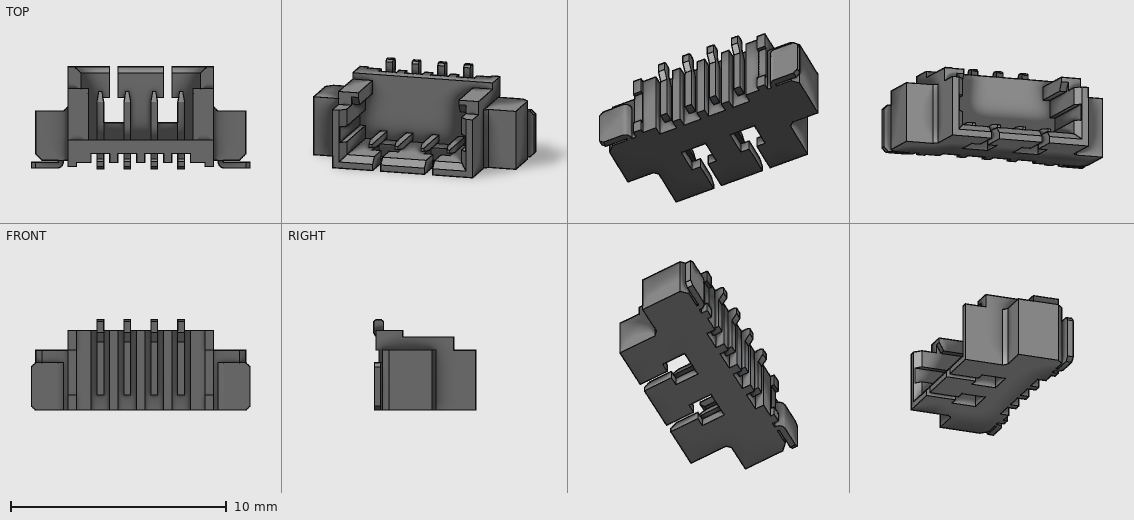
import cadquery as cq


PIN_COUNT = 4
PIN_PITCH = 1.25
PIN_WIDTH = 0.32
PIN_TOP = 4.2
TAIL_DEPTH = 0.47
TAIL_CHAMFER_Y = 0.11
TAIL_CHAMFER_Z = 0.1
TAIL_FACE_BOTTOM = 3.6
LEG_REAR_Y = 0.25
LEG_RISE_TOP = 3.15
PIN_BOTTOM = 0.7
PIN_BLADE_TOP = PIN_BOTTOM + PIN_WIDTH
TIP_Y = 3.6
TIP_LENGTH = 0.5
TIP_WIDTH = 0.14

SHELL_WIDTH = 6.75
SHELL_FRONT_Y = 4.75
EAR_REAR_Y = 0.11
EAR_WIDTH = 0.4
RIB_REAR_Y = 0.3
EAR_RECESS_Y = 0.25
REAR_WALL_FRONT_Y = 1.36
REAR_WALL_TOP = 3.7
SIDE_WALL_TOP = 3.4
SIDE_WALL_FRONT_Y = 3.73
LOW_WALL_TOP = 2.78
CAVITY_WIDTH = 5.53
RAIL_GAP = 4.85
RAIL_CHAMFER_Y = 0.23
RAIL_CHAMFER_Z = 0.4
FLOOR_TOP = 0.6
MOUTH_CHAMFER = 0.3
LATCH_BOTTOM = 1.22
LATCH_TOP = 1.97
LATCH_DEPTH = 0.26

REAR_SLOT_WIDTH = 0.86
REAR_SLOT_FRONT_Y = 0.72
WINDOW_REAR_Y = 2.15
WINDOW_FRONT_Y = 3.31
WINDOW_WIDTH = PIN_PITCH
MOUTH_SLOT_WIDTH = 0.39

WING_SPAN = 9.75
WING_REAR_Y = 0.41
WING_FRONT_Y = 2.7
WING_CHAMFER = 0.3
WING_GUSSET = 0.19

TAB_SPAN = 10.15
TAB_REAR_Y = 0.04
TAB_THICKNESS = 0.28
TAB_INNER_X = 3.58
TAB_LEG_THICKNESS = 0.25
TAB_EMBEDDED_DEPTH = 0.3
TAB_BEND_RADIUS = 0.32
TAB_TOP = 2.2
TAB_CHAMFER = 0.2


def block(x_min, x_max, y_min, y_max, z_min, z_max):
    """Axis-aligned box between the given limits."""
    size = (x_max - x_min, y_max - y_min, z_max - z_min)
    return cq.Workplane("XY").box(*size, centered=False).translate((x_min, y_min, z_min))


def centred_block(width, y_min, y_max, z_min, z_max, x_centre=0):
    """Box of the given width, centred in X on x_centre."""
    return block(x_centre - width / 2, x_centre + width / 2, y_min, y_max, z_min, z_max)


def both_sides(shape):
    """The shape joined with its mirror image across X = 0."""
    return shape.union(shape.mirror("YZ"))


def side_profile(points, width, x_centre=0):
    """Y-Z outline extruded to a width centred in X on x_centre."""
    prism = cq.Workplane("YZ").polyline(points).close().extrude(width / 2, both=True)
    return prism.translate((x_centre, 0, 0))


def pin_positions():
    """X position of every pin."""
    return [(i - (PIN_COUNT - 1) / 2) * PIN_PITCH for i in range(PIN_COUNT)]


def make_shell():
    """Stepped outer block with the rear wall, side walls and low front walls."""
    outline = [
        (EAR_REAR_Y, 0),
        (SHELL_FRONT_Y, 0),
        (SHELL_FRONT_Y, LOW_WALL_TOP),
        (SIDE_WALL_FRONT_Y, LOW_WALL_TOP),
        (SIDE_WALL_FRONT_Y, SIDE_WALL_TOP),
        (REAR_WALL_FRONT_Y, SIDE_WALL_TOP),
        (REAR_WALL_FRONT_Y, REAR_WALL_TOP),
        (EAR_REAR_Y, REAR_WALL_TOP),
    ]
    return side_profile(outline, SHELL_WIDTH)


def make_cavity():
    """Mating cavity, narrower between the overhanging rails, with a flared mouth."""
    below_rails = centred_block(
        CAVITY_WIDTH, REAR_WALL_FRONT_Y, SHELL_FRONT_Y, FLOOR_TOP, LOW_WALL_TOP
    )
    between_rails = centred_block(
        RAIL_GAP, REAR_WALL_FRONT_Y, SHELL_FRONT_Y, FLOOR_TOP, SIDE_WALL_TOP
    )
    rail_lead_in = side_profile(
        [
            (SIDE_WALL_FRONT_Y, LOW_WALL_TOP),
            (SIDE_WALL_FRONT_Y, LOW_WALL_TOP + RAIL_CHAMFER_Z),
            (SIDE_WALL_FRONT_Y - RAIL_CHAMFER_Y, LOW_WALL_TOP),
        ],
        CAVITY_WIDTH,
    )
    latch_grooves = centred_block(
        CAVITY_WIDTH + 2 * LATCH_DEPTH, REAR_WALL_FRONT_Y, SHELL_FRONT_Y, LATCH_BOTTOM, LATCH_TOP
    )
    return below_rails.union(between_rails).union(rail_lead_in).union(latch_grooves).union(make_mouth())


def make_mouth():
    """45-degree flare on the floor and on both side walls at the open front."""
    throat_y = SHELL_FRONT_Y - MOUTH_CHAMFER
    half_throat = CAVITY_WIDTH / 2
    half_mouth = half_throat + MOUTH_CHAMFER
    wall_flare = (
        cq.Workplane("XY", origin=(0, 0, FLOOR_TOP - MOUTH_CHAMFER))
        .polyline(
            [
                (-half_throat, throat_y),
                (half_throat, throat_y),
                (half_mouth, SHELL_FRONT_Y),
                (-half_mouth, SHELL_FRONT_Y),
            ]
        )
        .close()
        .extrude(LOW_WALL_TOP - FLOOR_TOP + MOUTH_CHAMFER)
    )
    above_floor_flare = side_profile(
        [
            (throat_y, FLOOR_TOP),
            (SHELL_FRONT_Y, FLOOR_TOP - MOUTH_CHAMFER),
            (SHELL_FRONT_Y, LOW_WALL_TOP),
            (throat_y, LOW_WALL_TOP),
        ],
        2 * half_mouth,
    )
    return wall_flare.intersect(above_floor_flare)


def make_floor_windows():
    """Two T-shaped openings through the floor, between the outer pairs of pins."""
    cuts = cq.Workplane("XY")
    for x in (-PIN_PITCH, PIN_PITCH):
        cuts = cuts.union(centred_block(WINDOW_WIDTH, WINDOW_REAR_Y, WINDOW_FRONT_Y, 0, FLOOR_TOP, x))
        cuts = cuts.union(centred_block(MOUTH_SLOT_WIDTH, WINDOW_FRONT_Y, SHELL_FRONT_Y, 0, FLOOR_TOP, x))
    return cuts


def make_rear_cuts():
    """Relief between the ears, recesses in the ears and one slot behind each pin."""
    half_shell = SHELL_WIDTH / 2
    cuts = centred_block(SHELL_WIDTH - 2 * EAR_WIDTH, EAR_REAR_Y, RIB_REAR_Y, 0, REAR_WALL_TOP)
    ear_recess = block(
        half_shell - EAR_WIDTH, half_shell, EAR_REAR_Y, EAR_RECESS_Y, PIN_BOTTOM, LOW_WALL_TOP
    )
    cuts = cuts.union(both_sides(ear_recess))
    for x in pin_positions():
        cuts = cuts.union(
            centred_block(REAR_SLOT_WIDTH, EAR_REAR_Y, REAR_SLOT_FRONT_Y, 0, REAR_WALL_TOP, x)
        )
    return cuts


def make_wing():
    """Side wing on +X with a bevelled rear corner and a small gusset against the shell."""
    half_shell = SHELL_WIDTH / 2
    half_span = WING_SPAN / 2
    outline = [
        (half_shell - WING_GUSSET, WING_REAR_Y),
        (half_span - WING_CHAMFER, WING_REAR_Y),
        (half_span, WING_REAR_Y + WING_CHAMFER),
        (half_span, WING_FRONT_Y),
        (half_shell + WING_GUSSET, WING_FRONT_Y),
        (half_shell, WING_FRONT_Y + WING_GUSSET),
        (half_shell - WING_GUSSET, WING_FRONT_Y + WING_GUSSET),
    ]
    return cq.Workplane("XY").polyline(outline).close().extrude(LOW_WALL_TOP)


def make_solder_tab():
    """Bent solder tab on +X: a flat plate whose inner end curls into the wing."""
    half_span = TAB_SPAN / 2
    plate_front_y = TAB_REAR_Y + TAB_THICKNESS
    leg_end_y = WING_REAR_Y + TAB_EMBEDDED_DEPTH
    leg_outer_x = TAB_INNER_X + TAB_LEG_THICKNESS
    bend_x = TAB_INNER_X + TAB_BEND_RADIUS
    tab = (
        cq.Workplane("XY")
        .moveTo(half_span, TAB_REAR_Y)
        .lineTo(bend_x, TAB_REAR_Y)
        .radiusArc((TAB_INNER_X, TAB_REAR_Y + TAB_BEND_RADIUS), TAB_BEND_RADIUS)
        .lineTo(TAB_INNER_X, leg_end_y)
        .lineTo(leg_outer_x, leg_end_y)
        .lineTo(leg_outer_x, plate_front_y)
        .lineTo(half_span, plate_front_y)
        .close()
        .extrude(TAB_TOP)
    )
    return tab.edges("|Y and >X").chamfer(TAB_CHAMFER)


def make_pin(x):
    """Contact pin: rear tail, leg down the slot, and a tapered blade into the cavity."""
    leg_front_y = LEG_REAR_Y + TAIL_DEPTH
    tail_outline = [
        (LEG_REAR_Y, PIN_BOTTOM),
        (LEG_REAR_Y, LEG_RISE_TOP),
        (0, TAIL_FACE_BOTTOM),
        (0, PIN_TOP - TAIL_CHAMFER_Z),
        (TAIL_CHAMFER_Y, PIN_TOP),
        (TAIL_DEPTH - TAIL_CHAMFER_Y, PIN_TOP),
        (TAIL_DEPTH, PIN_TOP - TAIL_CHAMFER_Z),
        (TAIL_DEPTH, TAIL_FACE_BOTTOM),
        (leg_front_y, LEG_RISE_TOP),
        (leg_front_y, PIN_BOTTOM),
    ]
    tail = side_profile(tail_outline, PIN_WIDTH, x)
    blade = centred_block(PIN_WIDTH, leg_front_y, TIP_Y - TIP_LENGTH, PIN_BOTTOM, PIN_BLADE_TOP, x)
    tip = (
        blade.faces(">Y")
        .workplane(centerOption="CenterOfMass")
        .rect(PIN_WIDTH, PIN_WIDTH)
        .workplane(offset=TIP_LENGTH)
        .rect(TIP_WIDTH, TIP_WIDTH)
        .loft(combine=False)
    )
    return tail.union(blade).union(tip)


result = make_shell().cut(make_cavity()).cut(make_floor_windows()).cut(make_rear_cuts())
result = result.union(both_sides(make_wing())).union(both_sides(make_solder_tab()))
for pin_x in pin_positions():
    result = result.union(make_pin(pin_x))